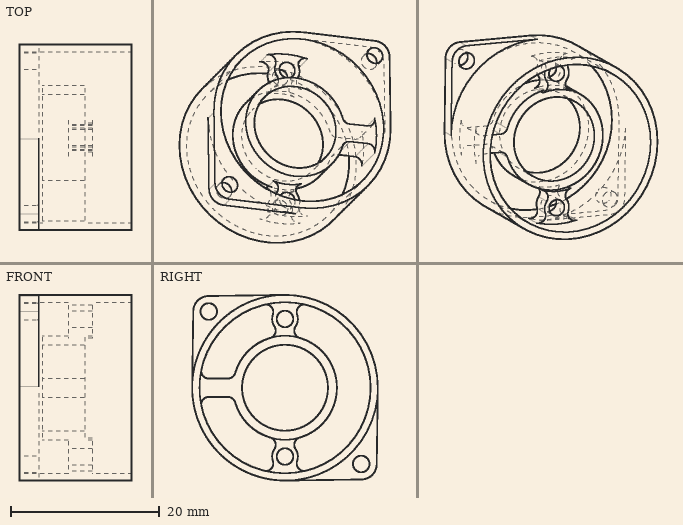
import cadquery as cq
import math

LENGTH = 15.1
TUBE_RADIUS = 25 / 2
BORE_RADIUS = 23 / 2

EAR_THICKNESS = 2.6
EAR_DISTANCE = 14.5
EAR_ANGLES = (135, 315)
HOLE_DIAMETER = 2.2
EAR_WALL = 1.0
EAR_RADIUS = HOLE_DIAMETER / 2 + EAR_WALL

RING_RADIUS = 7.0
RING_BORE_DIAMETER = 11.53
RING_FRONT = 3.1
RING_BACK = 8.8
SPOKE_ANGLE = 180
SPOKE_WIDTH = 2.5
BOSS_FRONT = 6.6
BOSS_BACK = 9.8
BOSS_DISTANCE = 9.25
BOSS_RADIUS = 1.75
BOSS_ANGLES = (90, 270)
FILLET = 1.0


def polar(radius, angle):
    """Point in the YZ plane, angle in degrees from +Y towards +Z."""
    turn = math.radians(angle)
    return (radius * math.cos(turn), radius * math.sin(turn))


def toward(start, end, distance):
    """Point at the given distance from start on the line to end."""
    share = distance / math.dist(start, end)
    return (start[0] + share * (end[0] - start[0]), start[1] + share * (end[1] - start[1]))


def fillet_middle(center, start, end):
    """Point halfway along a fillet arc."""
    chord_middle = ((start[0] + end[0]) / 2, (start[1] + end[1]) / 2)
    return toward(center, chord_middle, FILLET)


def mirrored(point):
    """Point reflected across the local Y axis, the centerline of ears, spoke and bosses."""
    return (point[0], -point[1])


def plane_at(x):
    """Sketch plane across the tube axis."""
    return cq.Workplane("YZ", origin=(x, 0, 0))


def spin(shape, angle):
    """Turn a shape about the tube axis."""
    return shape.rotate((0, 0, 0), (1, 0, 0), angle)


def tube():
    return plane_at(0).circle(TUBE_RADIUS).extrude(LENGTH)


def ear(angle):
    """Lobe whose straight sides are tangent to the tube and to the rounded tip."""
    spread = math.degrees(math.acos((TUBE_RADIUS - EAR_RADIUS) / EAR_DISTANCE))
    root = polar(TUBE_RADIUS, spread)
    tip_offset = polar(EAR_RADIUS, spread)
    tip_start = (EAR_DISTANCE + tip_offset[0], tip_offset[1])
    lobe = (
        plane_at(0)
        .moveTo(0, 0)
        .lineTo(*root)
        .lineTo(*tip_start)
        .threePointArc((EAR_DISTANCE + EAR_RADIUS, 0), mirrored(tip_start))
        .lineTo(*mirrored(root))
        .close()
        .extrude(EAR_THICKNESS)
    )
    hole = plane_at(0).center(EAR_DISTANCE, 0).circle(HOLE_DIAMETER / 2).extrude(EAR_THICKNESS)
    return spin(lobe.cut(hole), angle)


def ring():
    return (
        plane_at(RING_FRONT)
        .circle(RING_RADIUS)
        .circle(RING_BORE_DIAMETER / 2)
        .extrude(RING_BACK - RING_FRONT)
    )


def spoke():
    """Straight bar between ring and tube, filleted into both."""
    half = SPOKE_WIDTH / 2
    center_height = half + FILLET
    inner_center = (math.sqrt((RING_RADIUS + FILLET) ** 2 - center_height**2), center_height)
    outer_center = (math.sqrt((BORE_RADIUS - FILLET) ** 2 - center_height**2), center_height)
    on_ring = toward((0, 0), inner_center, RING_RADIUS)
    on_tube = toward((0, 0), outer_center, BORE_RADIUS)
    bar_inner = (inner_center[0], half)
    bar_outer = (outer_center[0], half)
    inner_middle = fillet_middle(inner_center, on_ring, bar_inner)
    outer_middle = fillet_middle(outer_center, bar_outer, on_tube)
    bar = (
        plane_at(RING_FRONT)
        .moveTo(*on_ring)
        .threePointArc(inner_middle, bar_inner)
        .lineTo(*bar_outer)
        .threePointArc(outer_middle, on_tube)
        .threePointArc((BORE_RADIUS, 0), mirrored(on_tube))
        .threePointArc(mirrored(outer_middle), mirrored(bar_outer))
        .lineTo(*mirrored(bar_inner))
        .threePointArc(mirrored(inner_middle), mirrored(on_ring))
        .threePointArc((RING_RADIUS, 0), on_ring)
        .close()
        .extrude(RING_BACK - RING_FRONT)
    )
    return spin(bar, SPOKE_ANGLE)


def boss_fillet_center(axis_distance):
    """Center of the fillet that touches the boss and lies axis_distance from the tube axis."""
    boss_reach = BOSS_RADIUS + FILLET
    along = (axis_distance**2 + BOSS_DISTANCE**2 - boss_reach**2) / (2 * BOSS_DISTANCE)
    return (along, math.sqrt(axis_distance**2 - along**2))


def boss(angle):
    """Round screw boss, filleted into the ring and the tube."""
    boss_center = (BOSS_DISTANCE, 0)
    inner_center = boss_fillet_center(RING_RADIUS + FILLET)
    outer_center = boss_fillet_center(BORE_RADIUS - FILLET)
    on_ring = toward((0, 0), inner_center, RING_RADIUS)
    on_tube = toward((0, 0), outer_center, BORE_RADIUS)
    boss_inner = toward(boss_center, inner_center, BOSS_RADIUS)
    boss_outer = toward(boss_center, outer_center, BOSS_RADIUS)
    boss_side = (BOSS_DISTANCE, BOSS_RADIUS)
    inner_middle = fillet_middle(inner_center, on_ring, boss_inner)
    outer_middle = fillet_middle(outer_center, boss_outer, on_tube)
    thickness = BOSS_BACK - BOSS_FRONT
    body = (
        plane_at(BOSS_FRONT)
        .moveTo(*on_ring)
        .threePointArc(inner_middle, boss_inner)
        .threePointArc(boss_side, boss_outer)
        .threePointArc(outer_middle, on_tube)
        .threePointArc((BORE_RADIUS, 0), mirrored(on_tube))
        .threePointArc(mirrored(outer_middle), mirrored(boss_outer))
        .threePointArc(mirrored(boss_side), mirrored(boss_inner))
        .threePointArc(mirrored(inner_middle), mirrored(on_ring))
        .threePointArc((RING_RADIUS, 0), on_ring)
        .close()
        .extrude(thickness)
    )
    hole = plane_at(BOSS_FRONT).center(*boss_center).circle(HOLE_DIAMETER / 2).extrude(thickness)
    return spin(body.cut(hole), angle)


result = tube()
for ear_angle in EAR_ANGLES:
    result = result.union(ear(ear_angle))
result = result.cut(plane_at(0).circle(BORE_RADIUS).extrude(LENGTH))
result = result.union(ring()).union(spoke())
for boss_angle in BOSS_ANGLES:
    result = result.union(boss(boss_angle))